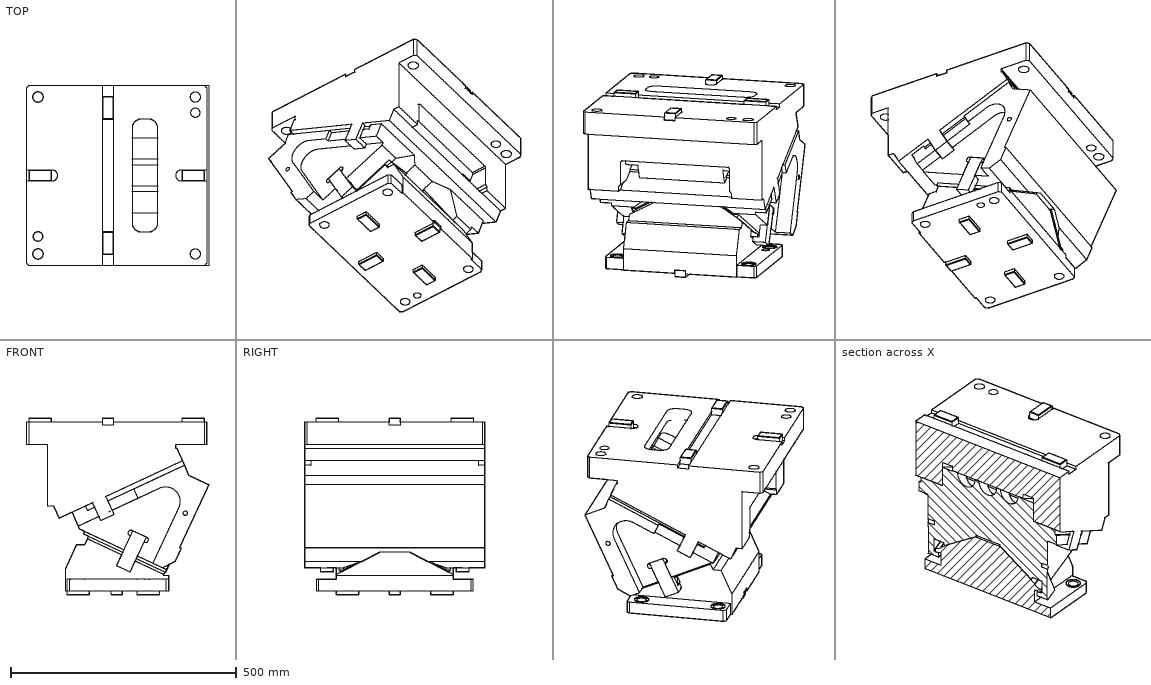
import cadquery as cq
import math


SLIDE_ANGLE = 25.0
COS = math.cos(math.radians(SLIDE_ANGLE))
SIN = math.sin(math.radians(SLIDE_ANGLE))
LIP_CORNER = (-127.5, 161.5)
SLIDE_CORNER = (-82.5, 137.5)


def upper(along, height):
    """(X, Z) of a point given along and above the housing slide face."""
    return (LIP_CORNER[0] + along * COS - height * SIN, LIP_CORNER[1] + along * SIN + height * COS)


def lower(along, height):
    """(X, Z) of a point given along and above the slide underside."""
    return (SLIDE_CORNER[0] + along * COS + height * SIN, SLIDE_CORNER[1] - along * SIN + height * COS)


def lower_at_level(along, level):
    """(X, Z) where the line across the slide underside at 'along' reaches Z = level."""
    return lower(along, (level - SLIDE_CORNER[1] + along * SIN) / COS)


UPPER_SECTION = cq.Plane((LIP_CORNER[0], 0, LIP_CORNER[1]), (0, 1, 0), (COS, 0, SIN))
LOWER_SECTION = cq.Plane((SLIDE_CORNER[0], 0, SLIDE_CORNER[1]), (0, 1, 0), (COS, 0, -SIN))


def side_prism(points, half_width):
    """An XZ outline extruded evenly to both sides of Y = 0."""
    return cq.Workplane("XZ").polyline(points).close().extrude(half_width, both=True)


def side_pair(points, inner, outer):
    """An XZ outline between two distances from Y = 0, on both sides."""
    near = cq.Workplane("XZ", origin=(0, -inner, 0)).polyline(points).close().extrude(outer - inner)
    return near.union(near.mirror("XZ"))


def section_prism(plane, points, start, end):
    """A (Y, height) outline swept along a slide direction."""
    return cq.Workplane(plane).workplane(offset=start).polyline(points).close().extrude(end - start)


def mirrored(half_outline):
    """A (Y, height) outline closed by its reflection about Y = 0."""
    return half_outline + [(-y, height) for y, height in reversed(half_outline)]


def frame_rectangle(frame, along, heights):
    """Corner points of a rectangle lying square to a slide direction."""
    return [
        frame(along[0], heights[0]),
        frame(along[1], heights[0]),
        frame(along[1], heights[1]),
        frame(along[0], heights[1]),
    ]


HALF_WIDTH = 200.0
SLIDE_WALL = 166.0
FLANGE_HALF = 191.0
FLANGE_DEPTH = 33.5
SLIDE_LENGTH_END = 302.5

KEY_WIDTH = 25.0
KEY_LENGTH = 50.0
KEY_RISE = 9.0
KEY_SLOT_DEPTH = 7.3
KEY_CHAMFER = 1.2

PLATE_TOP = 375.0
PLATE_BOTTOM = 325.0
PLATE_CHAMFER = 5.5
BODY_LEFT = -153.8
BODY_STEP_LEVEL = 188.5
LIP_HEIGHT = 29.5
NECK_X = 131.5
NECK_LEVEL = 316.5
CLAW_SPAN = (81.5, 114.0)
CLAW_DEPTH = 43.7

HOLE_X = 174.5
HOLE_Y = 174.0
SCREW_HOLE = 22.5
DOWEL_HOLE = 20.5
DOWEL_SPOTS = [(-HOLE_X, -135.0), (HOLE_X, 139.2)]

CROSS_GROOVE_X = -19.0
CROSS_KEY_Y = 149.7
END_KEY_X = 169.5
END_SLOT_END = 131.0

WINDOW_TOP = 258.5
WINDOW_HALF = 125.0
WINDOW_FOOT_HALF = 130.0
WINDOW_FOOT_LEVEL = 199.5
WINDOW_CHAMFER = 3.0
WINDOW_BACK = 48.0
PASSAGE_INNER = 98.0
PASSAGE_TOP = 64.5

TOP_SLOT_X = (35.0, 90.5)
TOP_SLOT_RADIUS = 20.0
BED_START = 68.0
BED_HEIGHT = 32.8
BED_CHAMFER = 3.2
BED_STEP_START = 153.8
BED_STEP_HEIGHT = 44.5
TOP_SLOT_STRAIGHT_END = 349.3

SLIDE_LEFT = 31.5
NOSE_HEIGHT = 210.5
NOSE_START = 169.5
NOSE_END = 219.0
HEEL_END = 223.0
HEEL_HEIGHTS = (24.5, 57.0)
HEEL_FOOT = 203.0

LEDGE_START = 64.5
LEDGE_DEPTH = 11.0
LEDGE_INNER = 186.0
FLANGE_CUT_END = 177.3
POCKET_END = 179.5
POCKET_RADIUS = 32.5

TROUGH_RADIUS = 23.5
TROUGH_PITCH = 59.5

EAR_HOLE_SPOT = (198.0, 131.0)
EAR_HOLE = 9.7
EAR_HOLE_DEPTH = 32.5

V_SLOPE = math.tan(math.radians(30))
DRIVER_HALF = 130.0
V_EDGE_HEIGHT = -12.0
V_FLAT_HALF = 32.5
DRIVER_SPAN = (25.0, 212.5)
PAD_SPAN = (12.5, 214.0)
PAD_OUTER = 119.8
SLIDE_V_HALF = 114.0

DRIVER_LEFT = -113.7
DRIVER_RIGHT = 115.7
DRIVER_LEFT_LEVEL = 49.0
DRIVER_SHOULDER = (-89.0, 103.0)
DRIVER_RIGHT_LEVEL = 35.0
FOOT_LEFT = -110.5
FOOT_HALF = 174.0
FOOT_HEIGHT = 26.5
FOOT_CORNER_X = 6.0
FOOT_CORNER_Y = 4.5
FOOT_HOLE_Y = 151.0
FOOT_HOLE_X = 87.0
FOOT_HOLE = 21.0
FOOT_COUNTERBORE = 31.5
FOOT_COUNTERBORE_DEPTH = 1.5
FOOT_DOWEL_X = 53.5
FOOT_DOWEL = 16.0
FOOT_KEY_XS = (-85.5, 70.0)
FOOT_KEY_Y = 105.0

STRAP_SPAN = (109.0, 142.0)
STRAP_TOP = 46.5
STRAP_BOTTOM = -39.0
STRAP_INNER = 149.0
STRAP_OUTER = 165.0
HOOK_TOP = -27.5
HOOK_INNER = 136.0
RELIEF_SPAN = (101.0, 149.0)
RELIEF_BOTTOM = 34.0
RELIEF_RADIUS = 5.5
TAB_OUTER = 145.5
TAB_HEIGHTS = (-14.0, -21.0)

CLEAR = 81.0
OVERLAP = 4.0


def driver_v_height(y):
    """Height of the driver V face over the slide underside at distance y from the centre."""
    return V_EDGE_HEIGHT + (DRIVER_HALF - y) * V_SLOPE


def slide_v_height(y):
    """Height of the V groove in the slide at distance y from the centre."""
    return (SLIDE_V_HALF - y) * V_SLOPE


def key(x, y, length_x, length_y, face_level, outward):
    """A locating key seated in its slot; outward is +1 for a top face, -1 for a bottom face."""
    height = KEY_RISE + KEY_SLOT_DEPTH
    centre = face_level + outward * (KEY_RISE - KEY_SLOT_DEPTH) / 2
    block = cq.Workplane("XY", origin=(x, y, centre)).box(length_x, length_y, height)
    return block.faces(">Z" if outward > 0 else "<Z").chamfer(KEY_CHAMFER)


def housing_blank():
    plate = cq.Workplane("XY", origin=(0, 0, PLATE_BOTTOM)).rect(2 * HALF_WIDTH, 2 * HALF_WIDTH)
    plate = plate.extrude(PLATE_TOP - PLATE_BOTTOM).edges("|Z").chamfer(PLATE_CHAMFER)
    lip_top = upper(0, LIP_HEIGHT)
    end_height = (NECK_LEVEL - upper(SLIDE_LENGTH_END, 0)[1]) / COS
    body = [
        (BODY_LEFT, PLATE_BOTTOM),
        (BODY_LEFT, BODY_STEP_LEVEL),
        (lip_top[0], BODY_STEP_LEVEL),
        upper(0, 0),
        upper(SLIDE_LENGTH_END, 0),
        upper(SLIDE_LENGTH_END, end_height),
        (NECK_X, NECK_LEVEL),
        (NECK_X, PLATE_BOTTOM),
    ]
    return plate.union(side_prism(body, HALF_WIDTH))


def claws():
    side = side_pair(frame_rectangle(upper, CLAW_SPAN, (-CLAW_DEPTH, 0)), FLANGE_HALF, HALF_WIDTH)
    hook = side_pair(
        frame_rectangle(upper, CLAW_SPAN, (-CLAW_DEPTH, -FLANGE_DEPTH)), SLIDE_WALL, HALF_WIDTH
    )
    return side.union(hook)


def window():
    """Opening in the left wall, floored parallel to the slide face."""
    back_top = upper(WINDOW_BACK, (WINDOW_TOP - upper(WINDOW_BACK, 0)[1]) / COS)
    front_floor = upper(-CLEAR, LIP_HEIGHT)
    side = [front_floor, upper(WINDOW_BACK, LIP_HEIGHT), back_top, (front_floor[0], WINDOW_TOP)]
    half_front = [
        (WINDOW_FOOT_HALF, 0),
        (WINDOW_FOOT_HALF, WINDOW_FOOT_LEVEL),
        (WINDOW_HALF, WINDOW_FOOT_LEVEL + WINDOW_FOOT_HALF - WINDOW_HALF),
        (WINDOW_HALF, WINDOW_TOP - WINDOW_CHAMFER),
        (WINDOW_HALF - WINDOW_CHAMFER, WINDOW_TOP),
    ]
    front = cq.Workplane("YZ").polyline(mirrored(half_front)).close().extrude(HALF_WIDTH, both=True)
    return side_prism(side, HALF_WIDTH).intersect(front)


def spring_end():
    """Distance along the slide face where the sloping chamber wall meets it."""
    from_lip_x = TOP_SLOT_X[1] - LIP_CORNER[0]
    from_lip_z = TOP_SLOT_STRAIGHT_END - LIP_CORNER[1]
    return from_lip_x * COS + from_lip_z * SIN


def round_end_corners(block, height):
    """Round the two corners where the sloping chamber wall meets the chamber sides."""
    x, z = upper(spring_end(), height)
    for side in (-1, 1):
        nearest = cq.selectors.NearestToPointSelector((x, side * WINDOW_HALF, z))
        block = block.edges(nearest).fillet(TOP_SLOT_RADIUS)
    return block


def spring_bed():
    """Raised bed on the slide that fills the bottom of the spring chamber."""
    outline = [
        upper(BED_START, 0),
        upper(BED_START, BED_HEIGHT),
        upper(BED_STEP_START, BED_HEIGHT),
        upper(BED_STEP_START, BED_STEP_HEIGHT),
        upper(spring_end(), BED_STEP_HEIGHT),
        upper(spring_end(), 0),
    ]
    return round_end_corners(side_prism(outline, WINDOW_HALF), BED_STEP_HEIGHT / 2)


def spring_chamber():
    """Slot in the plate, widened over the spring bed, with two side passages to the window."""
    left, right = TOP_SLOT_X
    bed_left = upper(0, BED_HEIGHT)
    bed_level = bed_left[1] + (left - bed_left[0]) * SIN / COS
    wall_top = (right, TOP_SLOT_STRAIGHT_END)
    wall_foot = upper(spring_end(), BED_HEIGHT)
    undercut = side_prism([wall_top, wall_foot, (left, bed_level), (left, wall_top[1])], WINDOW_HALF)
    wall_rise = (wall_top[1] - upper(spring_end(), 0)[1]) / COS
    undercut = round_end_corners(undercut, (wall_rise + BED_HEIGHT) / 2)

    slot = cq.Workplane("XY", origin=((left + right) / 2, 0, bed_level))
    slot = slot.rect(right - left, 2 * WINDOW_HALF).extrude(PLATE_TOP - bed_level)
    slot = slot.edges("|Z").fillet(TOP_SLOT_RADIUS)
    above_bed = [(left, bed_level), wall_foot, (wall_foot[0], PLATE_TOP), (left, PLATE_TOP)]
    slot = slot.intersect(side_prism(above_bed, WINDOW_HALF))

    passage = frame_rectangle(
        upper, (WINDOW_BACK - OVERLAP, spring_end() - CLEAR), (LIP_HEIGHT, PASSAGE_TOP)
    )
    passages = side_pair(passage, PASSAGE_INNER, WINDOW_HALF)
    return undercut.union(slot).union(passages).union(spring_bed())


def plate_slots():
    """Key slots: one across the full width and one at each X end."""
    level = PLATE_TOP - KEY_SLOT_DEPTH
    base = cq.Workplane("XY", origin=(0, 0, level))
    slots = base.center(CROSS_GROOVE_X, 0).rect(KEY_WIDTH, 2 * HALF_WIDTH).extrude(KEY_SLOT_DEPTH)
    length = HALF_WIDTH + CLEAR - END_SLOT_END
    for side in (-1, 1):
        centre = side * (END_SLOT_END + length / 2)
        slots = slots.union(base.center(centre, 0).slot2D(length, KEY_WIDTH).extrude(KEY_SLOT_DEPTH))
    return slots


def build_housing():
    body = housing_blank().cut(window()).cut(spring_chamber()).cut(plate_slots()).union(claws())
    corners = [(sx * HOLE_X, sy * HOLE_Y) for sx in (-1, 1) for sy in (-1, 1)]
    for spots, diameter in ((corners, SCREW_HOLE), (DOWEL_SPOTS, DOWEL_HOLE)):
        holes = cq.Workplane("XY", origin=(0, 0, PLATE_BOTTOM)).pushPoints(spots).circle(diameter / 2)
        body = body.cut(holes.extrude(PLATE_TOP - PLATE_BOTTOM))
    for side in (-1, 1):
        body = body.union(key(CROSS_GROOVE_X, side * CROSS_KEY_Y, KEY_WIDTH, KEY_LENGTH, PLATE_TOP, 1))
        body = body.union(key(side * END_KEY_X, 0, KEY_LENGTH, KEY_WIDTH, PLATE_TOP, 1))
    return body


def slide_blank():
    outline = [
        upper(SLIDE_LEFT, 0),
        upper(SLIDE_LENGTH_END, 0),
        lower(NOSE_START, NOSE_HEIGHT),
        lower(NOSE_END, NOSE_HEIGHT),
        lower(NOSE_END, HEEL_HEIGHTS[1]),
        lower(HEEL_END, HEEL_HEIGHTS[1]),
        lower(HEEL_END, HEEL_HEIGHTS[0]),
        lower(HEEL_FOOT, 0),
        lower(0, 0),
    ]
    return side_prism(outline, HALF_WIDTH)


def side_pockets():
    """Recess in each side below the guide flange, with a round upper corner."""
    start_x, start_z = lower(POCKET_END, 0)
    rise = (start_z - LIP_CORNER[1]) * COS - (start_x - LIP_CORNER[0]) * SIN
    corner_height = (-FLANGE_DEPTH - rise) / math.cos(2 * math.radians(SLIDE_ANGLE))
    corner = lower(POCKET_END, corner_height)
    outline = [upper(-CLEAR, -FLANGE_DEPTH), corner, lower(POCKET_END, -CLEAR), lower(-CLEAR, -CLEAR)]
    pockets = side_pair(outline, SLIDE_WALL, HALF_WIDTH)
    for side in (-1, 1):
        middle = side * (SLIDE_WALL + HALF_WIDTH) / 2
        nearest = cq.selectors.NearestToPointSelector((corner[0], middle, corner[1]))
        pockets = pockets.edges(nearest).fillet(POCKET_RADIUS)
    return pockets


def flange_cuts():
    """Narrowing of the flange at its low end, and the ledge along its top edges."""
    narrowing = frame_rectangle(upper, (0, FLANGE_CUT_END), (-FLANGE_DEPTH, 0))
    ledge = frame_rectangle(upper, (LEDGE_START, SLIDE_LENGTH_END + OVERLAP), (-LEDGE_DEPTH, 0))
    return side_pair(narrowing, FLANGE_HALF, HALF_WIDTH).union(side_pair(ledge, LEDGE_INNER, HALF_WIDTH))


def spring_troughs():
    """Half-round troughs along the taller part of the bed."""
    centres = [(step * TROUGH_PITCH, BED_STEP_HEIGHT) for step in (-1, 0, 1)]
    base = cq.Workplane(UPPER_SECTION).workplane(offset=BED_STEP_START)
    return base.pushPoints(centres).circle(TROUGH_RADIUS).extrude(spring_end() - BED_STEP_START)


def chamfered_bed():
    front_edge = upper(BED_START, BED_HEIGHT)
    nearest = cq.selectors.NearestToPointSelector((front_edge[0], 0, front_edge[1]))
    return spring_bed().edges(nearest).chamfer(BED_CHAMFER)


def slide_v_groove():
    """V groove, flat at its root, along the whole slide underside."""
    half = [(SLIDE_V_HALF, -CLEAR), (SLIDE_V_HALF, 0), (V_FLAT_HALF, slide_v_height(V_FLAT_HALF))]
    return section_prism(LOWER_SECTION, mirrored(half), -CLEAR, HEEL_END + CLEAR)


def wear_pads():
    """Pads in the slide's V groove that bear on the driver."""
    bottom = driver_v_height(PAD_OUTER)
    half = [
        (PAD_OUTER, bottom),
        (PAD_OUTER - bottom * V_SLOPE, 0),
        (SLIDE_V_HALF, 0),
        (V_FLAT_HALF, slide_v_height(V_FLAT_HALF)),
        (V_FLAT_HALF, driver_v_height(V_FLAT_HALF)),
    ]
    pad = section_prism(LOWER_SECTION, half, *PAD_SPAN)
    return pad.union(pad.mirror("XZ"))


def strap_seats():
    """Shallow seat for each strap, with rounded relief pockets at its upper corners."""
    seat = side_pair(frame_rectangle(lower, STRAP_SPAN, (0, STRAP_TOP)), STRAP_INNER, SLIDE_WALL)
    relief = side_pair(
        frame_rectangle(lower, RELIEF_SPAN, (RELIEF_BOTTOM, STRAP_TOP)), STRAP_INNER, SLIDE_WALL
    )
    return seat.union(relief.edges("|Y").fillet(RELIEF_RADIUS))


def straps():
    """Hooked return straps reaching down under the driver's pull tabs."""
    leg = side_pair(
        frame_rectangle(lower, STRAP_SPAN, (STRAP_BOTTOM, STRAP_TOP)), STRAP_INNER, STRAP_OUTER
    )
    hook = side_pair(
        frame_rectangle(lower, STRAP_SPAN, (STRAP_BOTTOM, HOOK_TOP)), HOOK_INNER, STRAP_OUTER
    )
    return leg.union(hook)


def ear_holes():
    x, z = lower(*EAR_HOLE_SPOT)
    near = cq.Workplane("XZ", origin=(x, -HALF_WIDTH, z)).circle(EAR_HOLE / 2).extrude(-EAR_HOLE_DEPTH)
    return near.union(near.mirror("XZ"))


def build_slide():
    body = slide_blank().cut(side_pockets()).cut(flange_cuts())
    body = body.union(chamfered_bed()).cut(spring_troughs())
    body = body.cut(slide_v_groove()).cut(strap_seats()).cut(ear_holes())
    return body.union(wear_pads()).union(straps())


def driver_blank():
    """Wedge block whose inclined top is a flat-topped V ridge."""
    start, end = DRIVER_SPAN
    ridge = driver_v_height(V_FLAT_HALF)
    outline = [
        (DRIVER_LEFT, 0),
        (DRIVER_RIGHT, 0),
        (DRIVER_RIGHT, DRIVER_RIGHT_LEVEL),
        lower_at_level(end, DRIVER_RIGHT_LEVEL),
        lower(end, ridge),
        lower(start, ridge),
        lower_at_level(start, DRIVER_SHOULDER[1]),
        DRIVER_SHOULDER,
        (DRIVER_LEFT, DRIVER_LEFT_LEVEL),
    ]
    block = side_prism(outline, DRIVER_HALF)
    outside_v = [(DRIVER_HALF, V_EDGE_HEIGHT), (V_FLAT_HALF, ridge), (DRIVER_HALF, ridge)]
    shoulder = section_prism(LOWER_SECTION, outside_v, start, end)
    return block.cut(shoulder).cut(shoulder.mirror("XZ"))


def pull_tabs():
    half = [
        (DRIVER_HALF, HOOK_TOP),
        (TAB_OUTER, HOOK_TOP),
        (TAB_OUTER, TAB_HEIGHTS[1]),
        (DRIVER_HALF, TAB_HEIGHTS[0]),
    ]
    tab = section_prism(LOWER_SECTION, half, *STRAP_SPAN)
    return tab.union(tab.mirror("XZ"))


def foot():
    half = [
        (DRIVER_RIGHT, FOOT_HALF - FOOT_CORNER_Y),
        (DRIVER_RIGHT - FOOT_CORNER_X, FOOT_HALF),
        (FOOT_LEFT + FOOT_CORNER_X, FOOT_HALF),
        (FOOT_LEFT, FOOT_HALF - FOOT_CORNER_Y),
    ]
    outline = half + [(x, -y) for x, y in reversed(half)]
    return cq.Workplane("XY").polyline(outline).close().extrude(FOOT_HEIGHT)


def foot_bore(spots, diameter, depth):
    """Vertical holes of the given depth from the top of the foot."""
    top = cq.Workplane("XY", origin=(0, 0, FOOT_HEIGHT))
    return top.pushPoints(spots).circle(diameter / 2).extrude(-depth)


def foot_holes():
    corners = [(sx * FOOT_HOLE_X, sy * FOOT_HOLE_Y) for sx in (-1, 1) for sy in (-1, 1)]
    holes = foot_bore(corners, FOOT_HOLE, FOOT_HEIGHT)
    counterbores = foot_bore(corners, FOOT_COUNTERBORE, FOOT_COUNTERBORE_DEPTH)
    dowel = foot_bore([(FOOT_DOWEL_X, -FOOT_HOLE_Y)], FOOT_DOWEL, FOOT_HEIGHT)
    return holes.union(counterbores).union(dowel)


def foot_key_slot():
    """Slot for the left foot key, open at the left face."""
    end = FOOT_KEY_XS[0] + KEY_LENGTH / 2
    length = end - DRIVER_LEFT
    slot = cq.Workplane("XY").center(end - length / 2, 0).rect(length, KEY_WIDTH)
    return slot.extrude(KEY_SLOT_DEPTH)


def build_driver():
    body = driver_blank().union(foot()).union(pull_tabs()).cut(foot_holes()).cut(foot_key_slot())
    for x in FOOT_KEY_XS:
        body = body.union(key(x, 0, KEY_LENGTH, KEY_WIDTH, 0, -1))
    for side in (-1, 1):
        body = body.union(key(0, side * FOOT_KEY_Y, KEY_WIDTH, KEY_LENGTH, 0, -1))
    return body


housing = build_housing()
slide = build_slide()
driver = build_driver()

result = cq.Compound.makeCompound([body.solids().val() for body in (housing, slide, driver)])